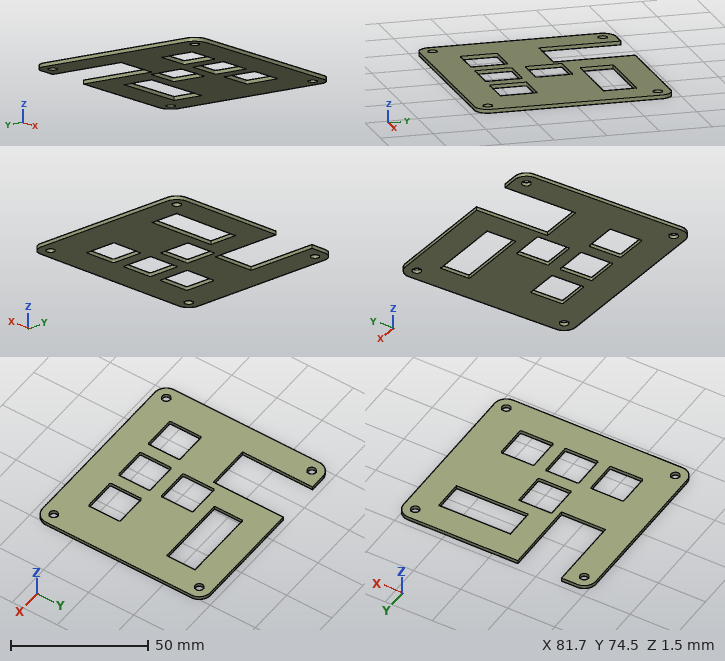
import cadquery as cq

LENGTH = 81.7
WIDTH = 74.5
THICKNESS = 1.5
CORNER_RADIUS = 5.0

HOLE_DIAMETER = 3.4

KEY_SIZE = 14.0
KEY_CORNER_RADIUS = 0.5
KEY_PITCH = 19.0
MIDDLE_KEY_X = -0.9
KEY_ROW_Y = -17.4

WINDOW_LENGTH = 30.4
WINDOW_WIDTH = 12.5
WINDOW_X = 14.4
WINDOW_Y = 19.8

NOTCH_WIDTH = 18.55
NOTCH_X = -19.9
NOTCH_DEPTH = 31.05


def box_at(length, width, x, y):
    """Block through the full plate thickness, centred at (x, y)."""
    return cq.Workplane("XY").box(length, width, THICKNESS).translate((x, y, 0))


def key_opening(x, y):
    """Square key cutter with small rounded corners."""
    return box_at(KEY_SIZE, KEY_SIZE, x, y).edges("|Z").fillet(KEY_CORNER_RADIUS)


plate = box_at(LENGTH, WIDTH, 0, 0).edges("|Z").fillet(CORNER_RADIUS)

hole_spacing_x = LENGTH - 2 * CORNER_RADIUS
hole_spacing_y = WIDTH - 2 * CORNER_RADIUS
plate = (
    plate.faces(">Z").workplane()
    .rect(hole_spacing_x, hole_spacing_y, forConstruction=True)
    .vertices()
    .hole(HOLE_DIAMETER)
)

key_centres = [(MIDDLE_KEY_X + step * KEY_PITCH, KEY_ROW_Y) for step in (-1, 0, 1)]
key_centres.append((MIDDLE_KEY_X, KEY_ROW_Y + KEY_PITCH))
for x, y in key_centres:
    plate = plate.cut(key_opening(x, y))

plate = plate.cut(box_at(WINDOW_LENGTH, WINDOW_WIDTH, WINDOW_X, WINDOW_Y))

notch_y = WIDTH / 2 - NOTCH_DEPTH / 2
plate = plate.cut(box_at(NOTCH_WIDTH, NOTCH_DEPTH, NOTCH_X, notch_y))

result = plate